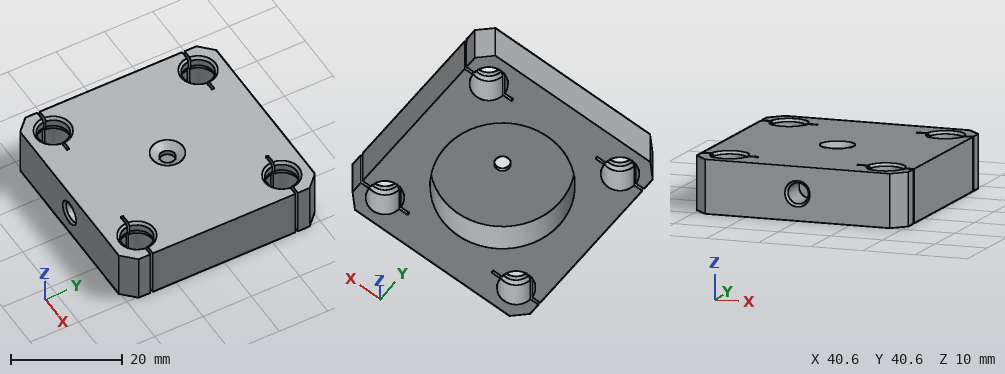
import cadquery as cq

side = 40.6
thickness = 10.0
corner_chamfer = 2.6

rod_spacing = 30.0
rod_hole_diameter = 6.1
rod_chamfer = 0.5
rod_relief_diameter = 6.9
rod_cone_top = 3.1
rod_cone_height = 1.1
slot_width = 0.5
slot_reach = 5.4

screw_hole_diameter = 3.0
countersink_diameter = 6.4
countersink_angle = 118.0

pocket_diameter = 26.0
floor_thickness = 2.0

side_hole_diameter = 3.9
side_hole_depth = 6.0
side_mouth_diameter = 4.8
side_mouth_angle = 90.0


def make_plate():
    """Square plate with its four upright corners cut off; mid-height at Z = 0."""
    return cq.Workplane("XY").box(side, side, thickness).edges("|Z").chamfer(corner_chamfer)


def make_rod_cutter(x_sign, y_sign):
    """Chamfered rod hole that widens through a cone below, plus its clamping slot."""
    radius = rod_hole_diameter / 2
    relief_radius = rod_relief_diameter / 2
    mouth = radius + rod_chamfer
    half = thickness / 2
    hole = (
        cq.Workplane("XZ")
        .moveTo(0, -half)
        .lineTo(relief_radius, -half)
        .lineTo(relief_radius, rod_cone_top - rod_cone_height)
        .lineTo(radius, rod_cone_top)
        .lineTo(radius, half - rod_chamfer)
        .lineTo(mouth, half)
        .lineTo(0, half)
        .close()
        .revolve(360, (0, 0, 0), (0, 1, 0))
    )
    edge_reach = (side - rod_spacing) / 2
    slot = (
        cq.Workplane("XY")
        .box(edge_reach + slot_reach, slot_width, thickness)
        .translate((x_sign * (edge_reach - slot_reach) / 2, 0, 0))
    )
    return hole.union(slot).translate((x_sign * rod_spacing / 2, y_sign * rod_spacing / 2, 0))


def cut_pocket(body):
    """Round pocket open to the bottom face."""
    return body.faces("<Z").workplane().hole(pocket_diameter, thickness - floor_thickness)


def cut_centre_hole(body):
    """Countersunk screw hole from the top face."""
    return (
        body.faces(">Z")
        .workplane()
        .cskHole(screw_hole_diameter, countersink_diameter, countersink_angle)
    )


def cut_side_hole(body):
    """Blind hole with a chamfered mouth, centred on the -Y side."""
    return (
        body.faces("<Y")
        .workplane(origin=(0, 0, 0))
        .cskHole(side_hole_diameter, side_mouth_diameter, side_mouth_angle, side_hole_depth)
    )


result = make_plate()
for x_sign in (-1, 1):
    for y_sign in (-1, 1):
        result = result.cut(make_rod_cutter(x_sign, y_sign))
result = cut_pocket(result)
result = cut_centre_hole(result)
result = cut_side_hole(result)